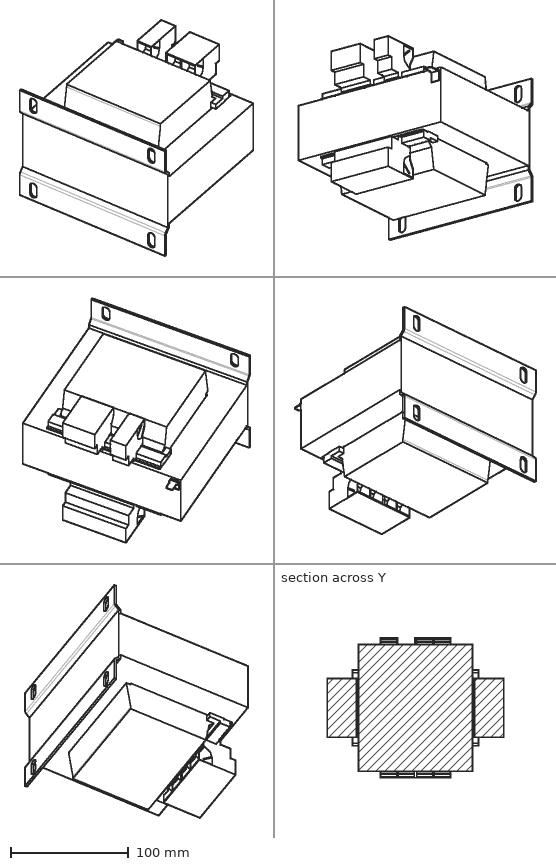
import cadquery as cq
import math


core_width = 150.0
core_depth = 125.0
core_height = 50.0
window_width = 100.0
window_depth = 75.0
core_back = core_depth / 2
core_front = -core_depth / 2
core_top = core_height / 2

coil_width = 97.0
coil_top = 53.9
coil_top_back = 36.6
coil_top_front = -37.3
coil_knee_back = 39.8
coil_knee_back_z = 34.6
coil_knee_front_z = 51.2
coil_base_back = 44.5
coil_base_z = 29.9
coil_base_front = -41.5

plate_height = 111.6
plate_thickness = 2.0
plate_front = -68.87
bend_start_z = 28.2
bend_angle = 45.0
bend_inner_radius = 1.5
bend_outer_radius = bend_inner_radius + plate_thickness
slot_width = 7.0
slot_length = 15.0
slot_spacing_x = 122.0
slot_spacing_z = 90.0

bracket_width = 107.0
bracket_front = 37.7
bracket_ledge_z = coil_base_z
bracket_step = 47.8
bracket_top = 32.3
bracket_back = 57.5
lip_back = 59.6
lip_top = 26.9
relief_front = 51.7
relief_height = 0.6

terminal_row_width = 60.0
terminals_per_pair = 2
end_plate_width = 1.0
terminal_width = (terminal_row_width - end_plate_width) / (2 * terminals_per_pair)
missing_upper_terminal = 1
terminal_top = 59.45
terminal_back = 76.7
terminal_front = 41.0
terminal_waist_front = 45.2
front_slope_top = 50.4
front_slope_bottom = 43.0
head_bottom = 42.0
waist_back = 71.8
waist_bottom = 30.6
foot_back = 62.0

opening_wall = 0.6
opening_top = 58.3
opening_back = 53.8
opening_bend_z = 50.0
ramp_back = 52.2
ramp_back_z = 44.2
ramp_front_z = 39.7
clamp_root = (53.6, 50.2)
clamp_tip = (45.9, 56.3)
clamp_thickness = 1.0

tab_center_x = -69.4
tab_thickness = 0.8
tab_top = 22.6
tab_leg_bottom = 13.1
tab_base_width = 8.0
tab_blade_width = 6.3
tab_shoulder = 66.0
tab_tip = 73.6
tab_tip_radius = 1.4


def extrude_yz(points, x_min, x_max):
    """Prism along X with a closed outline given as (y, z) points."""
    return cq.Workplane("YZ", origin=(x_min, 0, 0)).polyline(points).close().extrude(x_max - x_min)


def mirrored_outline(upper_points):
    """Outline closed by the mirror image of its upper half about Z = 0."""
    lower_points = [(y, -z) for y, z in reversed(upper_points)]
    return upper_points + lower_points


def make_core():
    window = cq.Workplane("XY").box(window_width, window_depth, core_height)
    return cq.Workplane("XY").box(core_width, core_depth, core_height).cut(window)


def make_coil():
    upper = [
        (coil_base_front, core_top),
        (coil_top_front, coil_knee_front_z),
        (coil_top_front, coil_top),
        (coil_top_back, coil_top),
        (coil_knee_back, coil_knee_back_z),
        (coil_base_back, coil_base_z),
    ]
    return extrude_yz(mirrored_outline(upper), -coil_width / 2, coil_width / 2)


def make_plate():
    web_front = core_front - plate_thickness
    flange_back = plate_front + plate_thickness
    slope = math.tan(math.radians(bend_angle))
    bend_end_z = bend_start_z + (web_front - plate_front) * slope
    corner_shift = plate_thickness * math.tan(math.radians(bend_angle / 2))
    upper = [
        (web_front, bend_start_z),
        (plate_front, bend_end_z),
        (plate_front, plate_height / 2),
        (flange_back, plate_height / 2),
        (flange_back, bend_end_z + corner_shift),
        (core_front, bend_start_z + corner_shift),
    ]
    plate = extrude_yz(mirrored_outline(upper), -core_width / 2, core_width / 2)
    for side in (1, -1):
        outer_corner = cq.NearestToPointSelector((0, plate_front, side * bend_end_z))
        plate = plate.edges("|X").edges(outer_corner).fillet(bend_outer_radius)
        inner_corner = cq.NearestToPointSelector((0, flange_back, side * (bend_end_z + corner_shift)))
        plate = plate.edges("|X").edges(inner_corner).fillet(bend_inner_radius)
    slots = (
        cq.Workplane("XZ", origin=(0, core_front, 0))
        .rarray(slot_spacing_x, slot_spacing_z, 2, 2)
        .slot2D(slot_length, slot_width, 90)
        .extrude(core_front - plate_front)
    )
    return plate.cut(slots)


def make_bracket():
    outline = [
        (bracket_front, core_top),
        (bracket_front, bracket_ledge_z),
        (bracket_step, bracket_ledge_z),
        (bracket_step, bracket_top),
        (bracket_back, bracket_top),
        (bracket_back, lip_top),
        (lip_back, lip_top),
        (lip_back, core_top + relief_height),
        (relief_front, core_top + relief_height),
        (relief_front, core_top),
    ]
    return extrude_yz(outline, -bracket_width / 2, bracket_width / 2)


def make_clamp(x_min, x_max):
    """Sloping clamp strip that stands inside the terminal opening."""
    run_y = clamp_tip[0] - clamp_root[0]
    run_z = clamp_tip[1] - clamp_root[1]
    length = math.hypot(run_y, run_z)
    offset_y = -run_z / length * clamp_thickness
    offset_z = run_y / length * clamp_thickness
    anchor_y = opening_back + clamp_thickness
    outline = [
        clamp_root,
        clamp_tip,
        (clamp_tip[0] + offset_y, clamp_tip[1] + offset_z),
        (clamp_root[0] + offset_y, clamp_root[1] + offset_z),
        (anchor_y, clamp_root[1] + offset_z),
        (anchor_y, clamp_root[1]),
    ]
    return extrude_yz(outline, x_min, x_max)


def make_terminal_body(x_min, x_max):
    """Solid block with the side outline of a terminal."""
    return extrude_yz(
        [
            (terminal_back, terminal_top),
            (terminal_front, terminal_top),
            (terminal_front, front_slope_top),
            (terminal_waist_front, front_slope_bottom),
            (terminal_waist_front, bracket_top),
            (bracket_back, bracket_top),
            (bracket_back, lip_top),
            (foot_back, lip_top),
            (foot_back, waist_bottom),
            (waist_back, waist_bottom),
            (waist_back, head_bottom),
            (terminal_back, head_bottom),
        ],
        x_min,
        x_max,
    )


def make_terminal(x_min):
    """Terminal block with its clamp opening and clamp strip."""
    x_max = x_min + terminal_width
    opening = extrude_yz(
        [
            (terminal_front, opening_top),
            (opening_back, opening_top),
            (opening_back, opening_bend_z),
            (ramp_back, ramp_back_z),
            (terminal_waist_front, ramp_front_z),
            (terminal_front, ramp_front_z),
        ],
        x_min + opening_wall,
        x_max - opening_wall,
    )
    clamp = make_clamp(x_min + opening_wall, x_max - opening_wall)
    return make_terminal_body(x_min, x_max).cut(opening).union(clamp)


def make_terminal_side(skipped_terminal=None):
    """Bracket with two pairs of terminals and the end plate between the pairs."""
    half_plate = end_plate_width / 2
    left_pair = [-terminal_row_width / 2 + index * terminal_width for index in range(terminals_per_pair)]
    right_pair = [half_plate + index * terminal_width for index in range(terminals_per_pair)]
    side = make_bracket().union(make_terminal_body(-half_plate, half_plate))
    for index, x_min in enumerate(left_pair + right_pair):
        if index != skipped_terminal:
            side = side.union(make_terminal(x_min))
    return side


def make_earth_tab():
    leg_height = tab_top - tab_leg_bottom
    leg = (
        cq.Workplane("XY")
        .box(tab_base_width, tab_thickness, leg_height, centered=(True, False, False))
        .translate((tab_center_x, core_back, tab_leg_bottom))
    )
    base = (
        cq.Workplane("XY")
        .box(tab_base_width, tab_shoulder - core_back, tab_thickness, centered=(True, False, False))
        .translate((tab_center_x, core_back, tab_top - tab_thickness))
    )
    blade = (
        cq.Workplane("XY")
        .box(tab_blade_width, tab_tip - core_back, tab_thickness, centered=(True, False, False))
        .translate((tab_center_x, core_back, tab_top - tab_thickness))
        .edges("|Z and >Y")
        .fillet(tab_tip_radius)
    )
    return leg.union(base).union(blade)


upper_terminals = make_terminal_side(missing_upper_terminal)
lower_terminals = make_terminal_side().mirror("XY")

result = (
    make_core()
    .union(make_coil())
    .union(make_plate())
    .union(upper_terminals)
    .union(lower_terminals)
    .union(make_earth_tab())
)